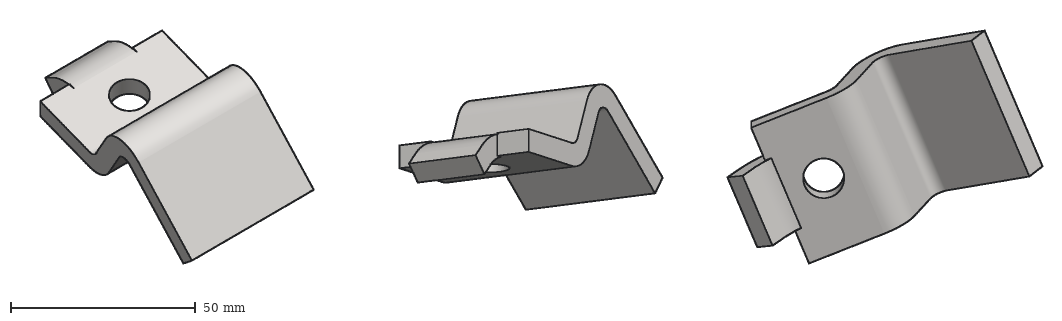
import cadquery as cq
import math

length = 79.3
width = 41.25
height = 31.6
thickness = 6.35
inner_radius = 3.2
outer_radius = inner_radius + thickness

base_start = 11.0
base_end = 33.1
base_bottom = 6.3
base_top = base_bottom + thickness
hole_x = 23.8
hole_diameter = 11.1

web_angle = 67.0
arm_angle = 37.6

tab_width = 21.3
tab_angle = 45.0
tab_root = 12.85
tab_bend_x = 15.1
tab_outer_radius = 16.5
tab_inner_radius = tab_outer_radius - thickness


def polar(center, radius, angle):
    """Point at a radius and angle (degrees from +X toward +Z) about a center."""
    turn = math.radians(angle)
    return (center[0] + radius * math.cos(turn), center[1] + radius * math.sin(turn))


def extrude_centered(outline, depth):
    """Extrude a closed XZ outline symmetrically about the XZ plane."""
    return outline.close().extrude(depth / 2, both=True)


def bent_plate():
    """Full-width strip: flat base, rising web, rounded crest and descending arm."""
    foot_center = (base_end, base_top + inner_radius)
    crest_z = height - outer_radius
    web_turn = math.radians(web_angle)
    center_offset = inner_radius + outer_radius
    rise = crest_z - foot_center[1]
    web_length = (rise + center_offset * math.cos(web_turn)) / math.sin(web_turn)
    crest_x = base_end + center_offset * math.sin(web_turn) + web_length * math.cos(web_turn)
    crest_center = (crest_x, crest_z)

    foot_end = web_angle - 90
    foot_middle = (foot_end - 90) / 2
    crest_start = web_angle + 90
    crest_end = 90 - arm_angle
    crest_middle = (crest_start + crest_end) / 2

    arm_turn = math.radians(arm_angle)
    arm_root = polar(crest_center, outer_radius, crest_end)
    arm_tip_top = (length, arm_root[1] - (length - arm_root[0]) * math.tan(arm_turn))
    arm_tip_bottom = polar(arm_tip_top, thickness, crest_end + 180)

    outline = (
        cq.Workplane("XZ")
        .moveTo(base_start, base_bottom)
        .lineTo(base_end, base_bottom)
        .threePointArc(
            polar(foot_center, outer_radius, foot_middle),
            polar(foot_center, outer_radius, foot_end),
        )
        .lineTo(*polar(crest_center, inner_radius, crest_start))
        .threePointArc(
            polar(crest_center, inner_radius, crest_middle),
            polar(crest_center, inner_radius, crest_end),
        )
        .lineTo(*arm_tip_bottom)
        .lineTo(*arm_tip_top)
        .lineTo(*arm_root)
        .threePointArc(
            polar(crest_center, outer_radius, crest_middle),
            polar(crest_center, outer_radius, crest_start),
        )
        .lineTo(*polar(foot_center, inner_radius, foot_end))
        .threePointArc(
            polar(foot_center, inner_radius, foot_middle),
            (base_end, base_top),
        )
        .lineTo(base_start, base_top)
    )
    return extrude_centered(outline, width)


def front_tab():
    """Narrow tab curving down from the base plate to a straight tip."""
    root_offset = tab_bend_x - tab_root
    root_angle = 90 + math.degrees(math.asin(root_offset / tab_outer_radius))
    center_z = base_top - math.sqrt(tab_outer_radius**2 - root_offset**2)
    center = (tab_bend_x, center_z)
    inner_root_angle = 90 + math.degrees(math.asin(root_offset / tab_inner_radius))
    bend_end = 90 + tab_angle

    outer_end = polar(center, tab_outer_radius, bend_end)
    drop = outer_end[0] * math.tan(math.radians(tab_angle))
    tip_top = (0, outer_end[1] - drop)
    tip_bottom = polar(tip_top, thickness, bend_end - 180)

    outline = (
        cq.Workplane("XZ")
        .moveTo(tab_root, base_top)
        .threePointArc(
            polar(center, tab_outer_radius, (root_angle + bend_end) / 2),
            outer_end,
        )
        .lineTo(*tip_top)
        .lineTo(*tip_bottom)
        .lineTo(*polar(center, tab_inner_radius, bend_end))
        .threePointArc(
            polar(center, tab_inner_radius, (inner_root_angle + bend_end) / 2),
            (tab_root, base_bottom),
        )
    )
    return extrude_centered(outline, tab_width)


def tab_notch():
    """Cutter clearing the base plate edge where the tab is rooted."""
    notch_length = tab_root - base_start
    return (
        cq.Workplane("XY", origin=(base_start + notch_length / 2, 0, base_bottom))
        .rect(notch_length, tab_width)
        .extrude(thickness)
    )


def bolt_hole():
    """Vertical cutter through the base plate."""
    return (
        cq.Workplane("XY", origin=(hole_x, 0, base_bottom))
        .circle(hole_diameter / 2)
        .extrude(thickness)
    )


result = bent_plate().cut(tab_notch()).union(front_tab()).cut(bolt_hole())